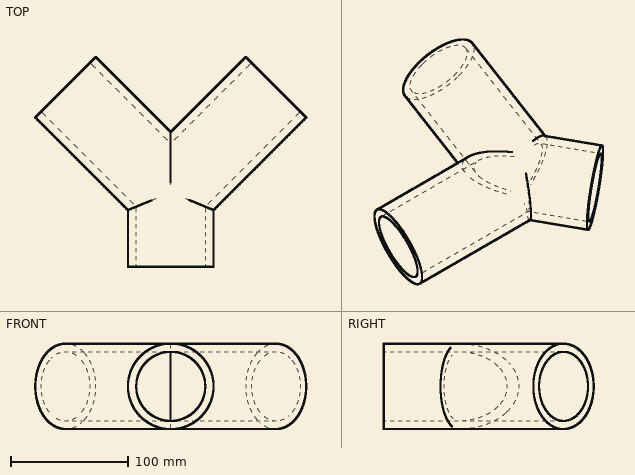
import cadquery as cq
import math

overall_width = 231.2
outer_diameter = 73.0
bore_diameter = 59.0
stem_length = 63.5
branch_angle = 45.0

lean = math.radians(branch_angle)
end_corner_offset = outer_diameter / 2 * math.cos(lean)
branch_length = (overall_width / 2 - end_corner_offset) / math.sin(lean)

stem = ((0, -1, 0), stem_length)
right_branch = ((math.sin(lean), math.cos(lean), 0), branch_length)
left_branch = ((-math.sin(lean), math.cos(lean), 0), branch_length)


def rod(direction, length, diameter):
    """Solid cylinder from the junction out along one leg."""
    base = cq.Plane(origin=(0, 0, 0), xDir=(0, 0, 1), normal=direction)
    return cq.Workplane(base).circle(diameter / 2).extrude(length)


def wye(diameter):
    """Three equal rods joined at the origin."""
    body = rod(*stem, diameter)
    for leg in (right_branch, left_branch):
        body = body.union(rod(*leg, diameter))
    return body


result = wye(outer_diameter).cut(wye(bore_diameter))